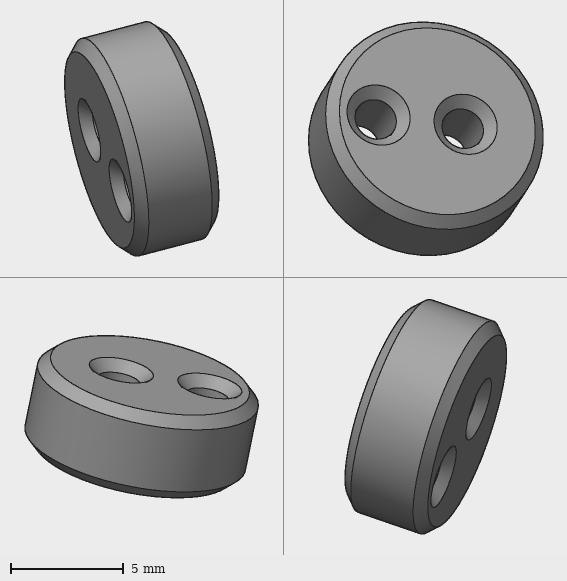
import cadquery as cq

disc_diameter = 10.0
disc_thickness = 4.0
edge_chamfer = 0.5

hole_diameter = 1.9
hole_spacing = 4.0
first_hole_x = -1.3
hole_positions = [(first_hole_x, 0), (first_hole_x + hole_spacing, 0)]

disc = (
    cq.Workplane("XZ", origin=(0, disc_thickness / 2, 0))
    .circle(disc_diameter / 2)
    .extrude(disc_thickness)
)

drilled_disc = (
    disc.faces("<Y")
    .workplane(origin=(0, 0, 0))
    .pushPoints(hole_positions)
    .hole(hole_diameter)
)

result = drilled_disc.faces("<Y or >Y").edges().chamfer(edge_chamfer)